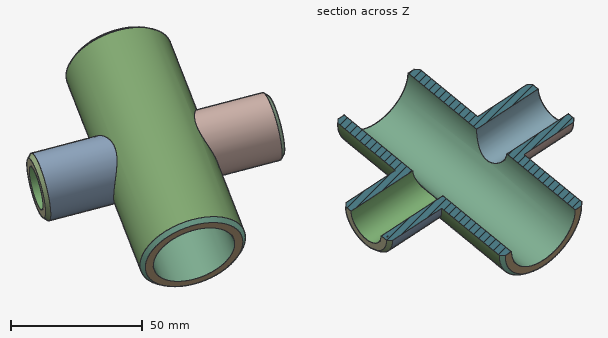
import cadquery as cq

RUN_LENGTH = 95.5
RUN_OUTER_DIAMETER = 42.16
RUN_BORE_DIAMETER = 32.46
BRANCH_SPAN = 95.5
BRANCH_OUTER_DIAMETER = 26.67
BRANCH_BORE_DIAMETER = 17.1
END_CHAMFER = 1.6


def centered_cylinder(plane, diameter, length):
    """Cylinder centred on the origin, with its axis normal to the plane."""
    return cq.Workplane(plane).circle(diameter / 2).extrude(length / 2, both=True)


def chamfered_pipe_body(plane, axis, diameter, length):
    """Solid pipe body with the outer edge of both ends chamfered."""
    body = centered_cylinder(plane, diameter, length)
    return body.faces(f"<{axis} or >{axis}").edges().chamfer(END_CHAMFER)


run = chamfered_pipe_body("YZ", "X", RUN_OUTER_DIAMETER, RUN_LENGTH)
branches = chamfered_pipe_body("XZ", "Y", BRANCH_OUTER_DIAMETER, BRANCH_SPAN)

run_bore = centered_cylinder("YZ", RUN_BORE_DIAMETER, RUN_LENGTH)
branch_bore = centered_cylinder("XZ", BRANCH_BORE_DIAMETER, BRANCH_SPAN)

result = run.union(branches).cut(run_bore).cut(branch_bore)